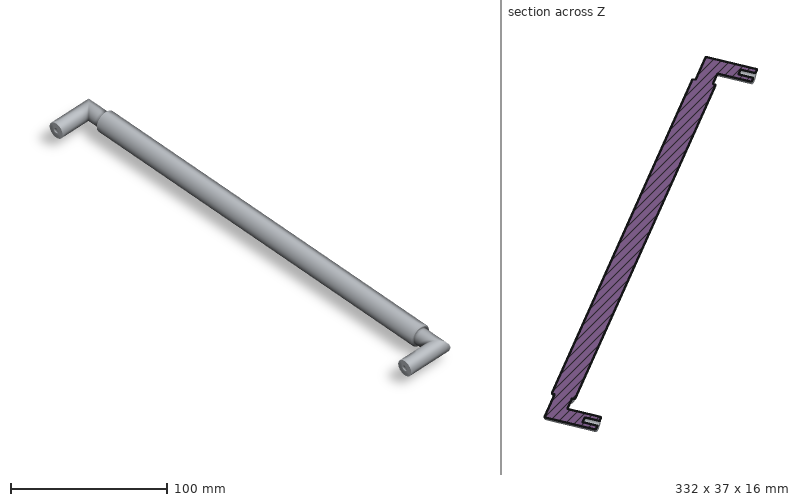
import cadquery as cq

overall_length = 332.0
leg_diameter = 12.0
leg_reach = 35.0
grip_diameter = 16.0
grip_length = 290.0
grip_chamfer = 0.5
hole_diameter = 4.0
hole_depth = 10.0

leg_radius = leg_diameter / 2
leg_x = overall_length / 2 - leg_radius
axis_y = leg_reach - leg_radius
inner_corner_x = overall_length / 2 - leg_diameter
inner_corner_y = leg_reach - leg_diameter


def rod_along_x(diameter, length):
    """Round rod on the grip axis, centred on X = 0."""
    return (
        cq.Workplane("YZ", origin=(-length / 2, axis_y, 0))
        .circle(diameter / 2)
        .extrude(length)
    )


def rod_from_mounting_face(x, diameter, length):
    """Round rod that starts on the mounting plane and runs along +Y."""
    return cq.Workplane("XZ", origin=(x, 0, 0)).circle(diameter / 2).extrude(-length)


def mitred_leg(side):
    """Leg cut at 45 degrees through the corner where it meets the arm."""
    x = side * leg_x
    inner_x = side * inner_corner_x
    outer_x = side * overall_length / 2
    keep = (
        cq.Workplane("XY")
        .polyline([(inner_x, 0), (outer_x, 0), (outer_x, leg_reach), (inner_x, inner_corner_y)])
        .close()
        .extrude(leg_radius, both=True)
    )
    return rod_from_mounting_face(x, leg_diameter, leg_reach).intersect(keep)


def mitred_arm():
    """Cross arm between the legs, cut at 45 degrees at both ends."""
    outer_x = overall_length / 2
    keep = (
        cq.Workplane("XY")
        .polyline([
            (-outer_x, leg_reach),
            (outer_x, leg_reach),
            (inner_corner_x, inner_corner_y),
            (-inner_corner_x, inner_corner_y),
        ])
        .close()
        .extrude(leg_radius, both=True)
    )
    return rod_along_x(leg_diameter, overall_length).intersect(keep)


grip = rod_along_x(grip_diameter, grip_length).faces("<X or >X").edges().chamfer(grip_chamfer)
result = mitred_arm().union(grip)
for side in (-1, 1):
    result = result.union(mitred_leg(side))
    result = result.cut(rod_from_mounting_face(side * leg_x, hole_diameter, hole_depth))